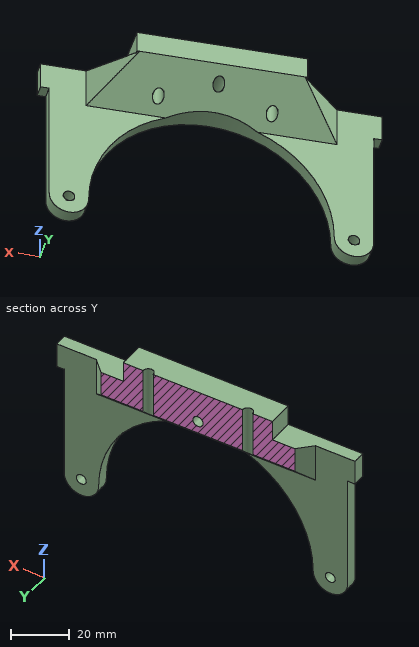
import cadquery as cq

overall_width = 120.0
overall_height = 70.0
overall_depth = 20.0
plate_thickness = 5.0

block_width = 60.0
block_height = 8.0
shoulder_height = 10.0
body_width = 114.0

leg_end_radius = 7.0
hole_diameter = 4.0
center_hole_drop = 13.0
block_hole_spacing = 40.0
rib_half_width = 44.0

shoulder_top = overall_height - block_height
shoulder_bottom = shoulder_top - shoulder_height
pivot_z = leg_end_radius
pivot_x = body_width / 2 - leg_end_radius
arch_radius = pivot_x - leg_end_radius
rib_depth = overall_depth - plate_thickness


def front_box(width, depth, bottom, top):
    """Box centred on X that runs back from the front face."""
    box = cq.Workplane("XY").box(width, depth, top - bottom, centered=(True, False, False))
    return box.translate((0, 0, bottom))


def cylinder_along_y(x, z, radius, depth):
    """Cylinder that runs back from the front face."""
    return cq.Workplane("XZ").center(x, z).circle(radius).extrude(-depth)


def make_plate():
    """Upright plate with wide shoulders and two round-ended legs."""
    plate = front_box(body_width, plate_thickness, pivot_z, shoulder_top)
    plate = plate.union(front_box(overall_width, plate_thickness, shoulder_bottom, shoulder_top))
    for side in (-1, 1):
        plate = plate.union(cylinder_along_y(side * pivot_x, pivot_z, leg_end_radius, plate_thickness))
    return plate


def make_rib():
    """45-degree wedge under the block, with its ends also cut back at 45 degrees."""
    wedge = (
        cq.Workplane("YZ")
        .moveTo(plate_thickness, shoulder_top)
        .lineTo(overall_depth, shoulder_top)
        .lineTo(plate_thickness, shoulder_top - rib_depth)
        .close()
        .extrude(rib_half_width, both=True)
    )
    back_half_width = rib_half_width - rib_depth
    plan = (
        cq.Workplane("XY")
        .moveTo(-rib_half_width, plate_thickness)
        .lineTo(rib_half_width, plate_thickness)
        .lineTo(back_half_width, overall_depth)
        .lineTo(-back_half_width, overall_depth)
        .close()
        .extrude(shoulder_top)
    )
    return wedge.intersect(plan)


block = front_box(block_width, overall_depth, shoulder_top, overall_height)
body = make_plate().union(block).union(make_rib())

body = body.cut(cylinder_along_y(0, pivot_z, arch_radius, overall_depth))

front_holes = [
    (-pivot_x, pivot_z),
    (pivot_x, pivot_z),
    (0, overall_height - center_hole_drop),
]
for x, z in front_holes:
    body = body.cut(cylinder_along_y(x, z, hole_diameter / 2, overall_depth))

mounting_holes = (
    cq.Workplane("XY")
    .center(0, overall_depth / 2)
    .rarray(block_hole_spacing, 1.2, 2, 1)
    .circle(hole_diameter / 2)
    .extrude(overall_height)
)
result = body.cut(mounting_holes)